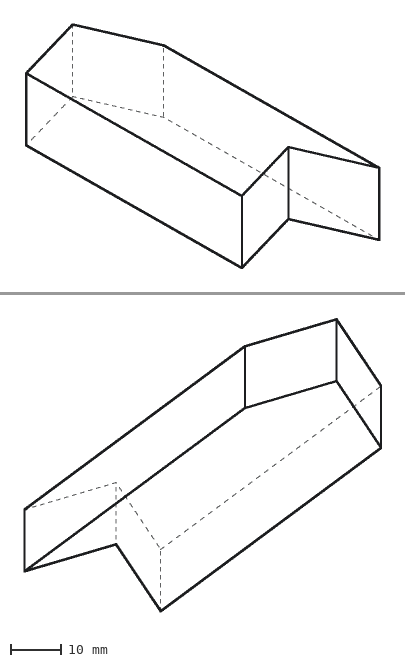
import cadquery as cq

length = 80.2
thickness = 16.5
end_width = 20.05
end_height = 22.0
slant_drop = 27.0

slant_run = length - end_width

outline = [
    (0, 0),
    (slant_run, -slant_drop),
    (slant_run, end_height - slant_drop),
    (length, end_height - slant_drop),
    (end_width, end_height),
    (0, end_height),
]

result = cq.Workplane("XY").polyline(outline).close().extrude(thickness)